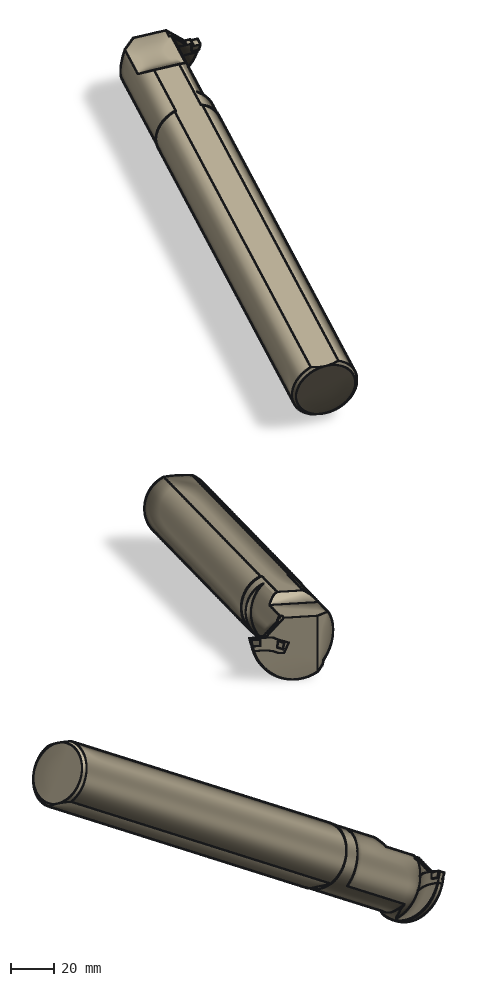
import cadquery as cq


total_length = 250.0
shank_radius = 16.0
neck_radius = 15.8
neck_length = 59.5
flat_height = 14.5
end_chamfer = 1.5

head_top = 9.8
head_top_length = 24.5
corner_start_y = -6.0
blade_thickness = 3.2
blade_radius = 20.2
blade_center_y = 4.8
blade_center_z = 0.2
blade_rim_width = 3.0
blade_root_length = 4.5
slant_sum = 19.8
slant_depth = 4.5

clearance_radius = 18.8
clearance_reach = 13.8
clearance_end = 49.2
clearance_runout = 3.0

tip_y = 25.5
tip_width = 4.2
tip_height = 3.0
tip_inner_y = 21.2
tip_relief = 0.38
tip_side_taper = 0.8
insert_top = 0.8
insert_bottom = -5.2
seat_opening_y = 17.5
recess_depth = 0.8

cut_size = 100.0


def x_cylinder(radius, start, length, y=0.0, z=0.0):
    return cq.Workplane("YZ", origin=(start, y, z)).circle(radius).extrude(length)


def x_cone(start_radius, end_radius, start, length, y=0.0, z=0.0):
    return (
        cq.Workplane("YZ", origin=(start, y, z)).circle(start_radius)
        .workplane(offset=length).circle(end_radius).loft(ruled=True)
    )


def x_prism(points, start, length):
    """Extrude an outline of (Y, Z) points along X."""
    return cq.Workplane("YZ", origin=(start, 0, 0)).polyline(points).close().extrude(length)


def make_shank():
    length = total_length - neck_length
    shank = x_cylinder(shank_radius, neck_length, length).faces(">X").chamfer(end_chamfer)
    flats = cq.Workplane("XY").box(2 * total_length, cut_size, 2 * flat_height)
    return shank.intersect(flats)


def make_neck():
    neck = x_cylinder(neck_radius, 0, neck_length)
    above_flat = cq.Workplane("XY", origin=(0, 0, flat_height)).box(
        cut_size + neck_length, cut_size, cut_size, centered=(True, True, False)
    )
    return neck.cut(above_flat)


def make_blade():
    rim = x_cylinder(blade_radius, 0, blade_rim_width, blade_center_y, blade_center_z)
    back = x_cone(
        blade_radius, blade_radius - blade_root_length,
        blade_rim_width, blade_root_length, blade_center_y, blade_center_z,
    )
    return rim.union(back)


def side_clearance():
    """Everything outside an offset cylinder that flares out at its far end."""
    center_y = clearance_reach - clearance_radius
    length = clearance_end - blade_thickness
    flared_radius = clearance_radius + clearance_runout
    kept = x_cylinder(clearance_radius, blade_thickness, length, center_y)
    kept = kept.union(
        x_cone(clearance_radius, flared_radius, clearance_end, clearance_runout, center_y)
    )
    block = cq.Workplane("YZ", origin=(blade_thickness, 0, 0)).rect(cut_size, cut_size).extrude(
        length + clearance_runout
    )
    positive_side = cq.Workplane("XY").box(
        cut_size, cut_size, cut_size, centered=(False, False, True)
    )
    return block.cut(kept).intersect(positive_side)


def head_top_cut():
    """Lowered top flat ending in a 45 degree ramp."""
    rise = cut_size - head_top
    return (
        cq.Workplane("XZ", origin=(0, cut_size / 2, 0))
        .polyline([
            (-2.5, head_top), (head_top_length, head_top),
            (head_top_length + rise, cut_size), (-2.5, cut_size),
        ]).close().extrude(cut_size)
    )


def head_corner_cut():
    """45 degree corner between the front face and the -Y side."""
    return (
        cq.Workplane("XY", origin=(0, 0, -cut_size / 2))
        .polyline([
            (0, corner_start_y),
            (0, corner_start_y - cut_size),
            (cut_size, corner_start_y - cut_size),
        ]).close().extrude(cut_size)
    )


def slant_cut():
    """45 degree edge above the insert, joining the blade to the head flat."""
    corner = (cut_size, cut_size)
    return x_prism(
        [(slant_sum - cut_size, cut_size), (cut_size, slant_sum - cut_size), corner], 0, slant_depth
    ).intersect(
        cq.Workplane("XY").box(cut_size, cut_size, cut_size, centered=(True, True, False))
    )


def insert_blank():
    """Insert body with its angled tail, as thick as the blade."""
    outline = [
        (tip_y, 0), (22.2, 0), (21.8, insert_top), (15.5, insert_top), (12.8, -0.5),
        (7.8, -2.2), (10.0, -7.0), (12.2, -7.0), (15.5, -5.8), (18.8, insert_bottom), (24.2, insert_bottom),
    ]
    return x_prism(outline, 0, blade_thickness)


def insert_seat():
    """Pocket for the insert, open outward so no holder metal is left past the tip."""
    opening = x_prism(
        [
            (seat_opening_y, insert_top), (cut_size, insert_top),
            (cut_size, insert_bottom), (seat_opening_y, insert_bottom),
        ],
        0, blade_thickness,
    )
    return insert_blank().union(opening)


def make_insert():
    insert = insert_blank()
    tip = x_prism(
        [(tip_y, 0), (tip_inner_y, 0), (tip_inner_y, -tip_height), (tip_y - tip_side_taper, -tip_height)],
        0, tip_width,
    )
    insert = insert.union(tip)
    relief = (
        cq.Workplane("XZ", origin=(0, tip_y, 0))
        .polyline([(0, 0), (0, -tip_height), (tip_relief, -tip_height)]).close()
        .extrude(tip_y - tip_inner_y)
    )
    recess = x_prism([(12.8, -1.2), (9.8, -2.2), (10.5, -5.2), (13.2, -4.2)], 0, recess_depth)
    return insert.cut(relief).cut(recess)


def make_holder():
    holder = make_neck().union(make_blade())
    for cutter in (side_clearance(), head_top_cut(), head_corner_cut(), slant_cut(), insert_seat()):
        holder = holder.cut(cutter)
    return holder.union(make_shank())


holder = make_holder()
insert = make_insert()

result = cq.Compound.makeCompound([holder.val(), insert.val()])